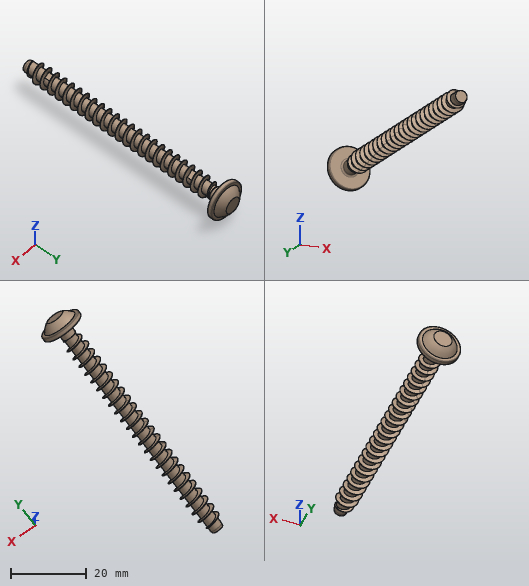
import cadquery as cq
import math


length = 73.6
flange_diameter = 12.0
flange_top = 2.2
flange_thickness = 1.5
flange_edge_round = 0.2
dome_top_radius = 2.6
dome_base_radius = 4.9
dome_mid_radius = 4.1
dome_mid_depth = 1.1
underside = flange_top + flange_thickness

shank_radius = 2.05
shank_end = 6.55
shank_fillet = 0.5
core_radius = 1.85
tip_radius = 1.7
tip_taper = 0.7

thread_radius = 3.0
first_full_crest = 10.4
last_full_crest = 69.6
full_turns = 22
pitch = (last_full_crest - first_full_crest) / full_turns
root_width = 0.8
crest_width = 0.15
root_radius = 1.0
buried_radius = 1.6
points_per_turn = 24
run_in_start = 5.5
run_in_end = 9.05
run_out_end = 73.1

core_flats = [(1, 1.1), (20, 1.5)]


def revolve_profile(profile):
    """Revolve a (radius, depth) outline about the screw axis."""
    return profile.close().revolve(360, (0, 0, 0), (0, 1, 0))


def make_head():
    dome = revolve_profile(
        cq.Workplane("XZ")
        .lineTo(dome_top_radius, 0)
        .threePointArc((dome_mid_radius, dome_mid_depth), (dome_base_radius, flange_top))
        .lineTo(0, flange_top)
    )
    flange = (
        cq.Workplane("XY", origin=(0, 0, flange_top))
        .circle(flange_diameter / 2)
        .extrude(flange_thickness)
        .edges()
        .fillet(flange_edge_round)
    )
    return dome.union(flange)


def make_shank():
    return revolve_profile(
        cq.Workplane("XZ")
        .moveTo(0, underside)
        .lineTo(shank_radius + shank_fillet, underside)
        .radiusArc((shank_radius, underside + shank_fillet), shank_fillet)
        .lineTo(shank_radius, shank_end)
        .lineTo(0, shank_end)
    )


def make_core():
    core = revolve_profile(
        cq.Workplane("XZ")
        .moveTo(0, shank_end)
        .lineTo(core_radius, shank_end)
        .lineTo(core_radius, length - tip_taper)
        .lineTo(tip_radius, length)
        .lineTo(0, length)
    )
    for turn, flat_height in core_flats:
        start = first_full_crest + turn * pitch
        flat_cut = cq.Workplane("XY").box(
            2 * core_radius, core_radius, pitch, centered=(True, False, False)
        )
        core = core.cut(flat_cut.translate((0, flat_height, start)))
    return core


def crest_radius(depth):
    """Crest radius, which tapers linearly over the run-in and the run-out."""
    run_in = (depth - run_in_start) / (run_in_end - run_in_start)
    run_out = (run_out_end - depth) / (run_out_end - last_full_crest)
    height = thread_radius - buried_radius
    return buried_radius + height * min(1, run_in, run_out)


def thread_section(depth):
    """Corners of the thread section as (radius, depth), root first."""
    crest = crest_radius(depth)
    return [
        (root_radius, depth - root_width / 2),
        (crest, depth - crest_width / 2),
        (crest, depth + crest_width / 2),
        (root_radius, depth + root_width / 2),
    ]


def corner_point(corner, depth):
    """Place one section corner at its angle; full crests point along +Y."""
    angle = math.pi / 2 + 2 * math.pi * (depth - first_full_crest) / pitch
    radius, height = thread_section(depth)[corner]
    return cq.Vector(radius * math.cos(angle), radius * math.sin(angle), height)


def thread_stretch(start, end):
    """Four corner curves of the thread between two depths."""
    steps = math.ceil(points_per_turn * (end - start) / pitch)
    depths = [start + (end - start) * step / steps for step in range(steps + 1)]
    return [
        cq.Edge.makeSpline([corner_point(corner, depth) for depth in depths])
        for corner in range(4)
    ]


def end_cap(depth):
    corners = [corner_point(corner, depth) for corner in range(4)]
    return cq.Face.makeFromWires(cq.Wire.makePolygon(corners, close=True))


def make_thread():
    full_length = last_full_crest - run_in_end
    full_stretches = math.ceil(full_length / pitch)
    breaks = [run_in_start]
    breaks += [run_in_end + full_length * i / full_stretches for i in range(full_stretches + 1)]
    breaks += [run_out_end]
    faces = [end_cap(breaks[0]), end_cap(breaks[-1])]
    for start, end in zip(breaks, breaks[1:]):
        curves = thread_stretch(start, end)
        for curve, neighbour in zip(curves, curves[1:] + curves[:1]):
            faces.append(cq.Face.makeRuledSurface(curve, neighbour))
    return cq.Workplane(cq.Solid.makeSolid(cq.Shell.makeShell(faces)))


body = make_head().union(make_shank()).union(make_core())
screw = body.union(make_thread())
result = screw.rotate((0, 0, 0), (1, 0, 0), 90)